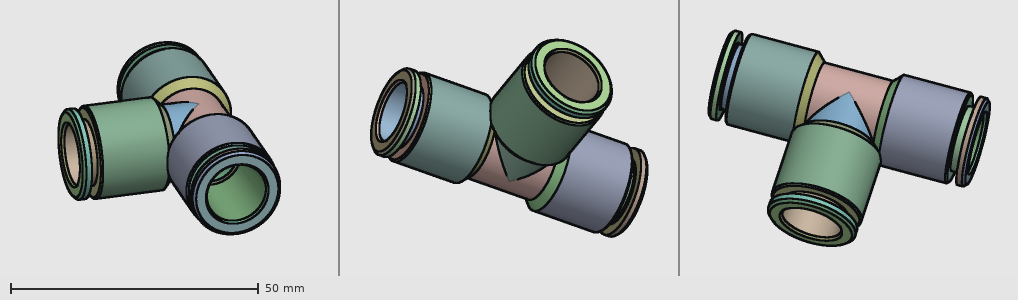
import cadquery as cq

reach = 27.1

body_radius = 19.0 / 2
body_end = reach - 3.7
body_edge_chamfer = 0.4
shoulder_height = 1.8
waist_radius = body_radius - shoulder_height
shoulder_start = 7.25
shoulder_end = shoulder_start + shoulder_height

collar_radius = 9.25
collar_back = reach - 1.8
collar_chamfer = 0.6
neck_radius = 6.85
flare_length = 0.3
flare_height = 0.2

passage_radius = 5.5
socket_radius = 6.25
socket_bottom = shoulder_end
mouth_chamfer_width = 0.4
mouth_chamfer_depth = 0.6

arm_turns = (90, -90, 180)


def turned(half_section):
    """Revolve a (radius, distance from centre) half-section about the Y axis."""
    return cq.Workplane("XY").polyline(half_section).close().revolve(360, (0, 0), (0, 1))


def arm():
    """Outside shape of one arm along +Y, from the centre to its port face."""
    return turned([
        (0, 0),
        (waist_radius, 0),
        (waist_radius, shoulder_start),
        (body_radius, shoulder_end),
        (body_radius, body_end - body_edge_chamfer),
        (body_radius - body_edge_chamfer, body_end),
        (neck_radius, body_end),
        (neck_radius, collar_back - flare_length),
        (neck_radius + flare_height, collar_back),
        (collar_radius, collar_back),
        (collar_radius, reach - collar_chamfer),
        (collar_radius - collar_chamfer, reach),
        (0, reach),
    ])


def arm_bore():
    """Passage, tube socket and chamfered mouth of one arm along +Y."""
    return turned([
        (0, 0),
        (passage_radius, 0),
        (passage_radius, socket_bottom),
        (socket_radius, socket_bottom),
        (socket_radius, reach - mouth_chamfer_depth),
        (socket_radius + mouth_chamfer_width, reach),
        (0, reach),
    ])


def on_every_port(shape):
    """Join copies of a +Y arm shape turned to the three ports."""
    joined = cq.Workplane("XY")
    for turn in arm_turns:
        joined = joined.union(shape.rotate((0, 0, 0), (0, 0, 1), turn))
    return joined


result = on_every_port(arm()).cut(on_every_port(arm_bore()))